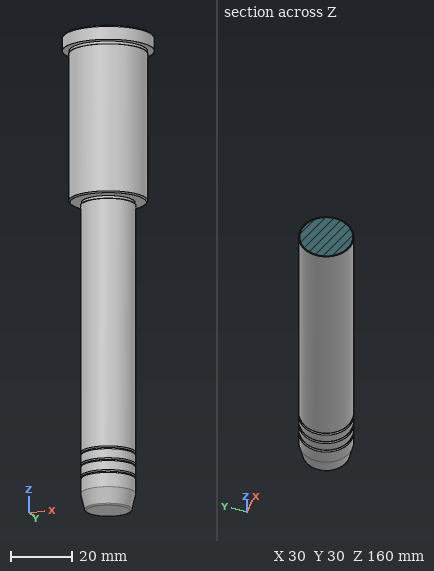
import cadquery as cq

total_length = 160.0
head_diameter = 30.0
head_height = 5.0
head_chamfer = 0.6

sleeve_diameter = 26.0
sleeve_bottom_z = 104.0
sleeve_chamfer = 0.5

shank_diameter = 18.0

relief_height = 1.0
head_relief_depth = 0.2
sleeve_relief_depth = 0.3

groove_count = 3
groove_pitch = 4.0
lowest_groove_z = 11.0
groove_width = 1.0
groove_depth = 0.3

nose_length = 5.8
nose_end_diameter = 15.4
tip_radius = 0.6

head_radius = head_diameter / 2
sleeve_radius = sleeve_diameter / 2
shank_radius = shank_diameter / 2
nose_end_radius = nose_end_diameter / 2
head_bottom_z = total_length - head_height


def make_body():
    """Revolve the stepped outline about the Z axis."""
    outline = (
        cq.Workplane("XZ")
        .lineTo(nose_end_radius, 0)
        .lineTo(shank_radius, nose_length)
        .lineTo(shank_radius, sleeve_bottom_z)
        .lineTo(sleeve_radius - sleeve_chamfer, sleeve_bottom_z)
        .lineTo(sleeve_radius, sleeve_bottom_z + sleeve_chamfer)
        .lineTo(sleeve_radius, head_bottom_z)
        .lineTo(head_radius, head_bottom_z)
        .lineTo(head_radius, total_length - head_chamfer)
        .lineTo(head_radius - head_chamfer, total_length)
        .lineTo(0, total_length)
        .close()
    )
    body = outline.revolve(360, (0, 0, 0), (0, 1, 0))
    return body.faces("<Z").edges().fillet(tip_radius)


def ring_cutter(surface_radius, depth, bottom_z, height):
    """Ring whose inner wall lies the given depth below a round surface."""
    return (
        cq.Workplane("XY")
        .workplane(offset=bottom_z)
        .circle(surface_radius + depth)
        .circle(surface_radius - depth)
        .extrude(height)
    )


def v_groove_cutter(middle_z):
    """Ring with a triangular section that points into the shank."""
    section = cq.Workplane("XZ").polyline([
        (shank_radius, middle_z - groove_width / 2),
        (shank_radius - groove_depth, middle_z),
        (shank_radius, middle_z + groove_width / 2),
    ]).close()
    return section.revolve(360, (0, 0, 0), (0, 1, 0))


result = make_body()

for radius, depth, shoulder_z in (
    (sleeve_radius, head_relief_depth, head_bottom_z),
    (shank_radius, sleeve_relief_depth, sleeve_bottom_z),
):
    result = result.cut(ring_cutter(radius, depth, shoulder_z - relief_height, relief_height))

for index in range(groove_count):
    result = result.cut(v_groove_cutter(lowest_groove_z + index * groove_pitch))